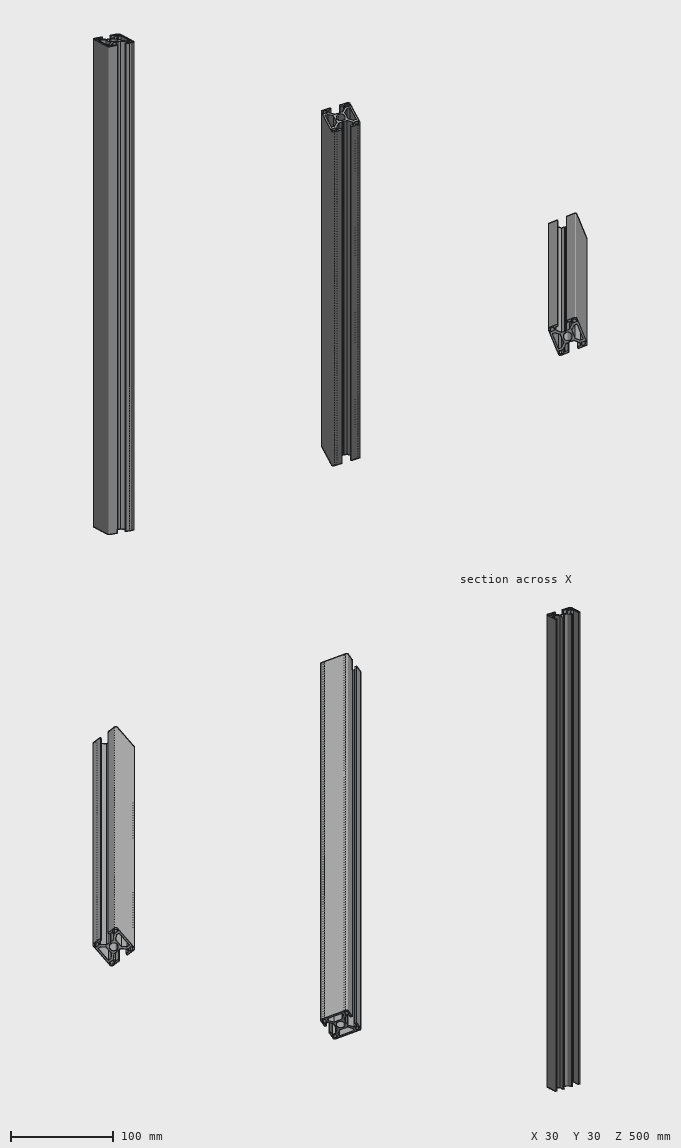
import cadquery as cq

SIDE = 30.0
LENGTH = 500.0
HALF = SIDE / 2
CORNER_RADIUS = 2.0

SLOT_OPENING = 9.5
LIP_THICKNESS = 2.0
SLOT_INNER_WIDTH = 16.5
TAPER_START_X = 10.0
FLOOR_X = 6.0
FLOOR_HALF_WIDTH = 4.2
GROOVE_WIDTH = 2.2
GROOVE_DEPTH = 0.7

BORE_DIAMETER = 8.5

CHAMBER_OUTER_Y = 13.0
CHAMBER_INNER_Y = 6.0
CHAMBER_HALF_WIDTH = 8.0
CHAMBER_FLOOR_HALF_WIDTH = 4.5
CHAMBER_TAPER = 4.0

CORNER_WALL = 1.2
CORNER_HOLLOW_X = 10.5
CORNER_HOLLOW_Y = 9.5
CORNER_HOLLOW_CHAMFER = 1.5


def prism(points):
    """Full-length solid with a polygonal cross-section."""
    return cq.Workplane("XY").polyline(points).close().extrude(LENGTH)


def bar():
    """Solid bar with rounded long edges."""
    return cq.Workplane("XY").rect(SIDE, SIDE).extrude(LENGTH).edges("|Z").fillet(CORNER_RADIUS)


def slot():
    """T-slot in the +X face, tapering to a grooved floor."""
    lip_x = HALF - LIP_THICKNESS
    upper = [
        (HALF, SLOT_OPENING / 2),
        (lip_x, SLOT_OPENING / 2),
        (lip_x, SLOT_INNER_WIDTH / 2),
        (TAPER_START_X, SLOT_INNER_WIDTH / 2),
        (FLOOR_X, FLOOR_HALF_WIDTH),
        (FLOOR_X, GROOVE_WIDTH / 2),
    ]
    lower = [(x, -y) for x, y in reversed(upper)]
    groove_bottom = (FLOOR_X - GROOVE_DEPTH, 0)
    return prism(upper + [groove_bottom] + lower)


def chamber():
    """Hollow behind the +Y face, narrowing towards the core."""
    right = [
        (CHAMBER_HALF_WIDTH, CHAMBER_OUTER_Y),
        (CHAMBER_HALF_WIDTH, CHAMBER_INNER_Y + CHAMBER_TAPER),
        (CHAMBER_FLOOR_HALF_WIDTH, CHAMBER_INNER_Y),
    ]
    left = [(-x, y) for x, y in reversed(right)]
    return prism(right + left)


def corner_hollow():
    """Hollow in the +X +Y corner, chamfered towards the rounded edge."""
    outer = HALF - CORNER_WALL
    return prism([
        (CORNER_HOLLOW_X, CORNER_HOLLOW_Y),
        (outer, CORNER_HOLLOW_Y),
        (outer, outer - CORNER_HOLLOW_CHAMFER),
        (outer - CORNER_HOLLOW_CHAMFER, outer),
        (CORNER_HOLLOW_X, outer),
    ])


def bore():
    """Round hole along the axis of the bar."""
    return cq.Workplane("XY").circle(BORE_DIAMETER / 2).extrude(LENGTH)


def cut_with_mirror(body, cutter, plane):
    """Cut the body with the cutter and with its mirror image."""
    return body.cut(cutter).cut(cutter.mirror(plane))


result = bar().cut(bore())
result = cut_with_mirror(result, slot(), "YZ")
result = cut_with_mirror(result, chamber(), "XZ")
for hollow in (corner_hollow(), corner_hollow().mirror("YZ")):
    result = cut_with_mirror(result, hollow, "XZ")